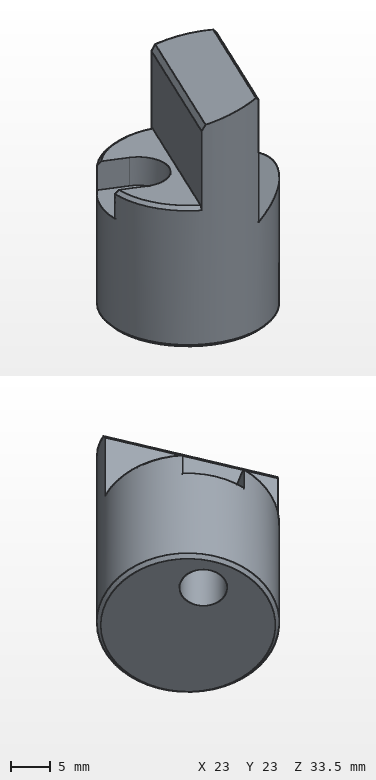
import cadquery as cq
import math

diameter = 23.0
height = 33.5
step_height = 20.0
edge_chamfer = 0.5

blade_front = -1.5
blade_back = 6.5
blade_slope = 15.0
tip_flat = 0.4
tip_drop = 0.4
nose_depth = 0.5
nose_drop = 0.87

notch_floor = 15.68
notch_slope = 30.0

hole_diameter = 6.0
hole_y = -6.5
seat_width = 8.1
seat_floor = 16.0

radius = diameter / 2
clear = 1.68


def make_cylinder():
    body = cq.Workplane("XY").circle(radius).extrude(height)
    return body.faces("<Z").chamfer(edge_chamfer)


def side_prism(points):
    """Extrude a closed (Y, Z) outline across the full width in X."""
    width = diameter + 2 * clear
    return cq.Workplane("YZ").polyline(points).close().extrude(width / 2, both=True)


def make_front_cut():
    """Space in front of the blade, leaving the chamfered rim of the shoulder."""
    cut = side_prism([
        (blade_front, step_height - edge_chamfer),
        (-radius - clear, step_height - edge_chamfer),
        (-radius - clear, height + clear),
        (blade_front, height + clear),
    ])
    shoulder = (
        cq.Workplane("XY").circle(radius).extrude(step_height)
        .faces(">Z").chamfer(edge_chamfer)
    )
    return cut.cut(shoulder)


def make_back_cut():
    outer = radius + clear
    rise = (outer - blade_back) * math.tan(math.radians(notch_slope))
    return side_prism([
        (blade_back, notch_floor),
        (outer, notch_floor + rise),
        (outer, height + clear),
        (blade_back, height + clear),
    ])


def make_top_cut():
    """Everything above the sloping blade top and its two edge bevels."""
    tip_y = blade_back - tip_flat
    nose_y = blade_front + nose_depth
    nose_z = height - (tip_y - nose_y) * math.tan(math.radians(blade_slope))
    return side_prism([
        (blade_back, height - tip_drop),
        (tip_y, height),
        (nose_y, nose_z),
        (blade_front, nose_z - nose_drop),
        (blade_front, height + clear),
        (blade_back, height + clear),
    ])


def make_screw_seat():
    """Round-ended recess open to the front, with a through hole in its floor."""
    depth = height - seat_floor
    level = cq.Workplane("XY").workplane(offset=seat_floor)
    round_end = level.center(0, hole_y).circle(seat_width / 2).extrude(depth)
    mouth_length = radius + clear + hole_y
    mouth = (
        level.center(0, hole_y - mouth_length / 2)
        .rect(seat_width, mouth_length).extrude(depth)
    )
    hole = cq.Workplane("XY").center(0, hole_y).circle(hole_diameter / 2).extrude(height)
    return round_end.union(mouth).union(hole)


result = (
    make_cylinder()
    .cut(make_front_cut())
    .cut(make_back_cut())
    .cut(make_top_cut())
    .cut(make_screw_seat())
)